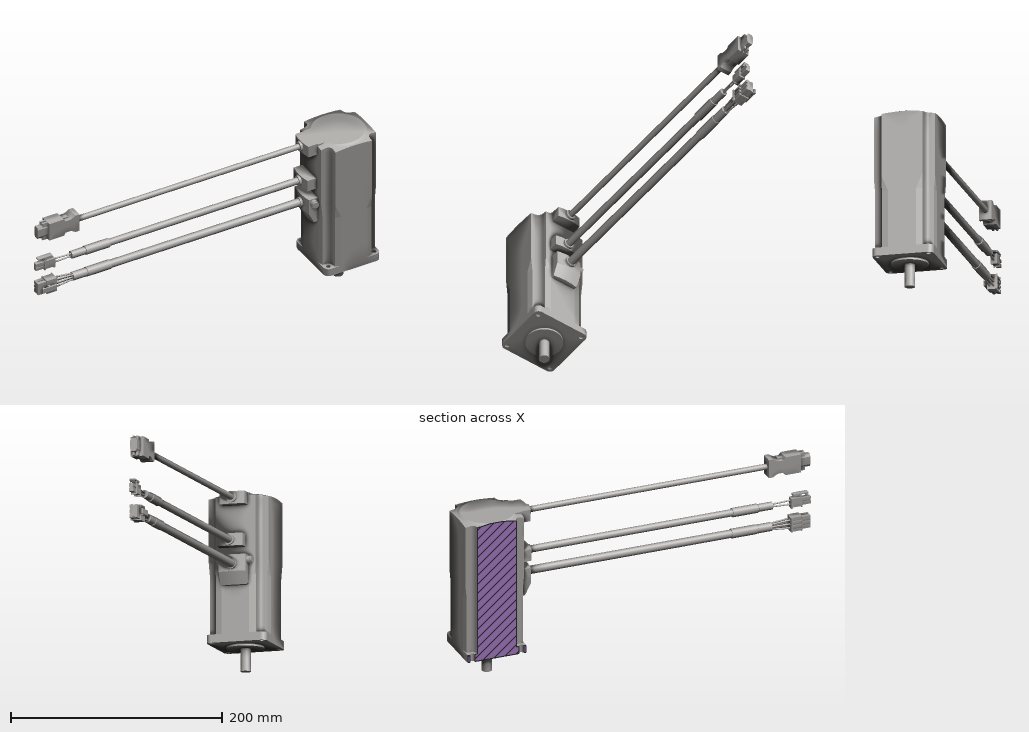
import cadquery as cq
import math


MOTOR_WIDTH = 60.0
HALF_WIDTH = MOTOR_WIDTH / 2
FLANGE_THICKNESS = 8.0
FLANGE_CORNER_RADIUS = 5.2
HOLE_SPACING = 50.0
HOLE_DIAMETER = 4.5
MOTOR_HEIGHT = 142.8
CAP_HEIGHT = 1.1
CAP_TOP_RADIUS = 25.7
CAP_BASE_RADIUS = 28.2
CAP_NECK_WIDTH = 27.0
TOP_SLOPE_ANGLE = 12.0
CHANNEL_INNER = 20.0
CHANNEL_RADIUS = 5.5
RELIEF_START = 13.8
RELIEF_DEPTH = 1.3
RELIEF_TOP = 64.0
RELIEF_RUNOUT = 14.5

PILOT_DIAMETER = 36.0
PILOT_HEIGHT = 2.0
SHAFT_DIAMETER = 10.0
SHAFT_LENGTH = 24.0

EMBED = 1.0

OUTLET_EDGE_Y = -39.5
OUTLET_CENTRE_Y = -41.0
OUTLET_HEIGHT = 12.0
GLAND_DIAMETER = 10.0
GLAND_END_Y = -43.2
CABLE_END_Y = -330.0

ENCODER_X = 0.0
ENCODER_Z = 137.0
ENCODER_OUTLET_WIDTH = 25.0
ENCODER_CABLE_DIAMETER = 5.8

BRAKE_X = -2.4
BRAKE_Z = 96.2
BRAKE_OUTLET_WIDTH = 26.0
BRAKE_OUTLET_RISE = 0.3
BRAKE_CABLE_DIAMETER = 7.0
BRAKE_SLEEVE_DIAMETER = 9.0

POWER_X = 0.0
POWER_Z = 73.0
POWER_OUTLET_WIDTH = 27.2
POWER_OUTLET_TOP = 82.0
POWER_OUTLET_KNEE = 65.8
POWER_OUTLET_BOTTOM = 53.8
POWER_OUTLET_FOOT_Y = -34.9
POWER_OUTLET_CORNER = 1.2
POWER_CABLE_DIAMETER = 8.0
POWER_SLEEVE_DIAMETER = 9.4
SCREW_Y = -34.5
SCREW_Z = 77.2
SCREW_HEAD_DIAMETER = 7.6
SCREW_HEAD_LENGTH = 3.0
SCREW_TIP_DIAMETER = 6.4
SCREW_TIP_LENGTH = 1.8

SLEEVE_START_Y = -250.0
SLEEVE_END_Y = -275.6
JACKET_START_Y = -276.6
JACKET_END_Y = -290.8
JACKET_THICKNESS = 0.3
WIRE_DIAMETER = 1.6
WIRE_GATHERING = 0.6

SHELL_START_Y = -286.2
SHELL_END_Y = -319.2
SHELL_WIDTH = 12.6
SHELL_HEIGHT = 18.8
GRIP_START_Y = -290.8
GRIP_FLOOR_START_Y = -296.5
GRIP_FLOOR_END_Y = -301.3
GRIP_END_Y = -303.3
GRIP_DEPTH = 2.9
GRIP_BOW_DEPTH = 1.9
GRIP_PAD_WIDTH = 4.4
GRIP_PAD_RISE = 1.4
PRONG_END_Y = -324.7
PRONG_INNER_X = 1.0
PRONG_OUTER_X = 2.8
NOSE_WIDTH = 6.8
NOSE_HEIGHT = 12.6
NOSE_SIDE_HEIGHT = 8.0
NOSE_TOP_WIDTH = 4.4

BRAKE_COLUMNS = 1
POWER_COLUMNS = 3
PIN_PITCH = 4.2
PLUG_START_Y = -309.6
PLUG_NOSE_Y = -321.0
PLUG_HALF_THICKNESS = 4.5
LIP_V = -5.7
LIP_WIDTH = 1.6
FRONT_LIP_WIDTH = 1.0
PLUG_NOSE_TOP_V = 3.6
PLUG_NOSE_BOTTOM_V = -4.0
PLUG_BORDER = 2.2
PLUG_NOSE_STEP = 1.0
PIN_GROOVE_WIDTH = 1.8
PIN_GROOVE_DEPTH = 0.8
RIB_GROOVE_WIDTH = 2.0
LATCH_WIDTH = 5.0
LATCH_TOP_V = 8.6
LATCH_THIN_V = 7.4
LATCH_THICK_V = 6.5
LATCH_REAR_Y = -312.0
LATCH_POST_START_Y = -318.2
LATCH_POST_END_Y = -320.2
LATCH_HOOK_START_Y = -325.2
LATCH_HOOK_V = 5.3
LATCH_FRONT_Y = -327.4


def block(x0, x1, y0, y1, z0, z1):
    """Box between two opposite corners."""
    size = (abs(x1 - x0), abs(y1 - y0), abs(z1 - z0))
    centre = ((x0 + x1) / 2, (y0 + y1) / 2, (z0 + z1) / 2)
    return cq.Workplane("XY").box(*size).translate(centre)


def rod(diameter, start, end):
    """Round bar between two points."""
    start, end = cq.Vector(*start), cq.Vector(*end)
    axis = end - start
    return cq.Workplane(cq.Solid.makeCylinder(diameter / 2, axis.Length, start, axis))


def tetrahedron(corners):
    """Solid with four triangular faces."""
    faces = []
    for skipped in corners:
        triangle = [cq.Vector(*corner) for corner in corners if corner != skipped]
        faces.append(cq.Face.makeFromWires(cq.Wire.makePolygon(triangle, close=True)))
    return cq.Workplane(cq.Solid.makeSolid(cq.Shell.makeShell(faces)))


def make_housing():
    """Square housing whose top slopes down from the cap to the corners."""
    slope_radius = MOTOR_WIDTH
    shoulder_z = MOTOR_HEIGHT - CAP_HEIGHT
    slope_drop = (slope_radius - CAP_BASE_RADIUS) * math.tan(math.radians(TOP_SLOPE_ANGLE))
    envelope = (
        cq.Workplane("XZ")
        .moveTo(0, 0)
        .lineTo(slope_radius, 0)
        .lineTo(slope_radius, shoulder_z - slope_drop)
        .lineTo(CAP_BASE_RADIUS, shoulder_z)
        .lineTo(CAP_TOP_RADIUS, MOTOR_HEIGHT)
        .lineTo(0, MOTOR_HEIGHT)
        .close()
        .revolve(360, (0, 0, 0), (0, 1, 0))
    )
    housing = block(-HALF_WIDTH, HALF_WIDTH, -HALF_WIDTH, HALF_WIDTH, 0, MOTOR_HEIGHT)
    neck = block(
        -CAP_NECK_WIDTH / 2, CAP_NECK_WIDTH / 2, -HALF_WIDTH, 0, MOTOR_HEIGHT / 2, MOTOR_HEIGHT
    )
    housing = housing.edges("|Z").fillet(FLANGE_CORNER_RADIUS)
    return housing.intersect(envelope).union(neck)


def corner_channel():
    """Cutter for the open channel above one flange hole, in the +X +Y corner."""
    outer = HALF_WIDTH + EMBED
    channel = block(
        CHANNEL_INNER, outer, CHANNEL_INNER, outer, FLANGE_THICKNESS, MOTOR_HEIGHT + EMBED
    )
    return channel.edges("|Z and <X and <Y").fillet(CHANNEL_RADIUS)


def side_relief():
    """Cutter that slopes the +Y face back towards the +X channel, with a ramp at its top."""
    near = (RELIEF_START, HALF_WIDTH)
    far = (CHANNEL_INNER, HALF_WIDTH)
    deep = (CHANNEL_INNER, HALF_WIDTH - RELIEF_DEPTH)
    prism = (
        cq.Workplane("XY", origin=(0, 0, FLANGE_THICKNESS))
        .polyline([near, far, deep])
        .close()
        .extrude(RELIEF_TOP - FLANGE_THICKNESS)
    )
    ramp = tetrahedron(
        [(*near, RELIEF_TOP), (*far, RELIEF_TOP), (*deep, RELIEF_TOP), (*far, RELIEF_TOP + RELIEF_RUNOUT)]
    )
    return prism.union(ramp)


def cut_corners(housing):
    """Cut the channel, hole and two side reliefs at each of the four corners."""
    channel = corner_channel()
    relief = side_relief()
    mirrored_relief = relief.mirror("YZ")
    hole = cq.Workplane("XY").circle(HOLE_DIAMETER / 2).extrude(FLANGE_THICKNESS)
    hole = hole.translate((HOLE_SPACING / 2, HOLE_SPACING / 2, 0))
    for quarter in range(4):
        for cutter in (channel, hole, relief, mirrored_relief):
            housing = housing.cut(cutter.rotate((0, 0, 0), (0, 0, 1), 90 * quarter))
    return housing


def make_motor():
    """Housing with its pilot and shaft."""
    pilot = rod(PILOT_DIAMETER, (0, 0, EMBED), (0, 0, -PILOT_HEIGHT))
    shaft = rod(SHAFT_DIAMETER, (0, 0, 0), (0, 0, -SHAFT_LENGTH))
    return cut_corners(make_housing()).union(pilot).union(shaft)


def outlet_outline(plane, width, setback=0.0):
    """Outline of an outlet with a gently bowed front, set back towards the housing."""
    root_y = -HALF_WIDTH + EMBED
    return (
        plane.moveTo(-width / 2, root_y)
        .lineTo(-width / 2, OUTLET_EDGE_Y + setback)
        .threePointArc((0, OUTLET_CENTRE_Y + setback), (width / 2, OUTLET_EDGE_Y + setback))
        .lineTo(width / 2, root_y)
        .close()
    )


def make_outlet(centre_x, width, bottom, top):
    """Outlet block on the -Y face."""
    plane = cq.Workplane("XY", origin=(centre_x, 0, bottom))
    return outlet_outline(plane, width).extrude(top - bottom)


def make_power_outlet():
    """Taller outlet that tapers back to the housing below the cable, with a side screw."""
    side = POWER_OUTLET_WIDTH / 2
    setback = POWER_OUTLET_FOOT_Y - OUTLET_CENTRE_Y
    foot = cq.Workplane("XY", origin=(POWER_X, 0, POWER_OUTLET_BOTTOM))
    foot = outlet_outline(foot, POWER_OUTLET_WIDTH, setback)
    knee = foot.workplane(offset=POWER_OUTLET_KNEE - POWER_OUTLET_BOTTOM)
    taper = outlet_outline(knee, POWER_OUTLET_WIDTH).loft(ruled=True)
    taper = taper.edges("|Y and <Z").chamfer(POWER_OUTLET_CORNER)
    outlet = make_outlet(POWER_X, POWER_OUTLET_WIDTH, POWER_OUTLET_KNEE, POWER_OUTLET_TOP).union(taper)
    head_end = side + SCREW_HEAD_LENGTH
    tip_end = head_end + SCREW_TIP_LENGTH
    head = rod(SCREW_HEAD_DIAMETER, (side - EMBED, SCREW_Y, SCREW_Z), (head_end, SCREW_Y, SCREW_Z))
    tip = rod(SCREW_TIP_DIAMETER, (side, SCREW_Y, SCREW_Z), (tip_end, SCREW_Y, SCREW_Z))
    return outlet.union(head).union(tip)


def cable_rod(x, z, diameter, start_y, end_y):
    """Round bar along the cable direction."""
    return rod(diameter, (x, start_y, z), (x, end_y, z))


def make_gland(x, z):
    """Strain relief where a cable leaves its outlet."""
    return cable_rod(x, z, GLAND_DIAMETER, OUTLET_EDGE_Y, GLAND_END_Y)


def make_grip():
    """Cutter for the finger grip in the top of the encoder plug, leaving a raised pad."""
    top = SHELL_HEIGHT / 2
    floor = top - GRIP_DEPTH
    middle_y = (GRIP_START_Y + GRIP_FLOOR_START_Y) / 2
    grip = (
        cq.Workplane("YZ")
        .moveTo(GRIP_START_Y, top)
        .threePointArc((middle_y, top - GRIP_BOW_DEPTH), (GRIP_FLOOR_START_Y, floor))
        .lineTo(GRIP_FLOOR_END_Y, floor)
        .lineTo(GRIP_END_Y, top)
        .close()
        .extrude(SHELL_WIDTH, both=True)
    )
    pad_half = GRIP_PAD_WIDTH / 2
    pad = block(
        -pad_half, pad_half, GRIP_FLOOR_START_Y, GRIP_END_Y, floor, floor + GRIP_PAD_RISE
    )
    return grip.cut(pad)


def make_encoder_plug():
    """Flat plug with finger grips, latch prongs and a chamfered nose, centred on X = Z = 0."""
    half_width = SHELL_WIDTH / 2
    half_height = SHELL_HEIGHT / 2
    plug = block(-half_width, half_width, SHELL_START_Y, SHELL_END_Y, -half_height, half_height)
    grip = make_grip()
    plug = plug.cut(grip).cut(grip.mirror("XY"))
    nose = (
        cq.Workplane("XZ", origin=(0, SHELL_END_Y + EMBED, 0))
        .polyline(
            [
                (-NOSE_WIDTH / 2, -NOSE_SIDE_HEIGHT / 2),
                (-NOSE_TOP_WIDTH / 2, -NOSE_HEIGHT / 2),
                (NOSE_TOP_WIDTH / 2, -NOSE_HEIGHT / 2),
                (NOSE_WIDTH / 2, -NOSE_SIDE_HEIGHT / 2),
                (NOSE_WIDTH / 2, NOSE_SIDE_HEIGHT / 2),
                (NOSE_TOP_WIDTH / 2, NOSE_HEIGHT / 2),
                (-NOSE_TOP_WIDTH / 2, NOSE_HEIGHT / 2),
                (-NOSE_WIDTH / 2, NOSE_SIDE_HEIGHT / 2),
            ]
        )
        .close()
        .extrude(SHELL_END_Y + EMBED - CABLE_END_Y)
    )
    plug = plug.union(nose)
    for side in (-1, 1):
        prong = block(
            side * PRONG_INNER_X,
            side * PRONG_OUTER_X,
            SHELL_END_Y + EMBED,
            PRONG_END_Y,
            -half_height,
            half_height,
        )
        plug = plug.union(prong)
    return plug


def make_latch():
    """Latch arm on a post, with a hook at its front end."""
    return (
        cq.Workplane("YZ")
        .polyline(
            [
                (LATCH_REAR_Y, LATCH_TOP_V),
                (LATCH_REAR_Y, LATCH_THICK_V),
                (LATCH_POST_START_Y, LATCH_THICK_V),
                (LATCH_POST_START_Y, 0),
                (LATCH_POST_END_Y, 0),
                (LATCH_POST_END_Y, LATCH_THIN_V),
                (LATCH_HOOK_START_Y, LATCH_THIN_V),
                (LATCH_HOOK_START_Y, LATCH_HOOK_V),
                (LATCH_FRONT_Y, LATCH_THIN_V),
                (LATCH_FRONT_Y, LATCH_TOP_V),
            ]
        )
        .close()
        .extrude(LATCH_WIDTH / 2, both=True)
    )


def make_pin_plug(columns):
    """Two-row plug, columns along X and the latch on +Z, centred on X = Z = 0."""
    half = (columns * PIN_PITCH + PLUG_BORDER) / 2
    nose_half = half - PLUG_NOSE_STEP
    body = block(-half, half, PLUG_START_Y, PLUG_NOSE_Y, -PLUG_HALF_THICKNESS, PLUG_HALF_THICKNESS)
    rear_lip = block(-half, half, PLUG_START_Y, PLUG_START_Y - LIP_WIDTH, LIP_V, 0)
    front_lip = block(-half, half, PLUG_NOSE_Y + FRONT_LIP_WIDTH, PLUG_NOSE_Y, LIP_V, 0)
    nose = block(
        -nose_half, nose_half, PLUG_NOSE_Y + EMBED, CABLE_END_Y, PLUG_NOSE_BOTTOM_V, PLUG_NOSE_TOP_V
    )
    for side in (-1, 1):
        row_groove = block(
            side * (nose_half - PIN_GROOVE_DEPTH),
            side * nose_half,
            PLUG_NOSE_Y,
            CABLE_END_Y,
            -PIN_GROOVE_WIDTH / 2,
            PIN_GROOVE_WIDTH / 2,
        )
        nose = nose.cut(row_groove)
    return body.union(rear_lip).union(front_lip).union(nose).union(make_latch())


def cut_column_grooves(plug, columns):
    """Cut a groove in the plug body under each column and in the nose between columns."""
    for column in range(columns):
        x = column_offset(column, columns)
        body_groove = block(
            x - RIB_GROOVE_WIDTH / 2,
            x + RIB_GROOVE_WIDTH / 2,
            PLUG_START_Y - LIP_WIDTH,
            PLUG_NOSE_Y,
            LIP_V,
            PIN_GROOVE_DEPTH - PLUG_HALF_THICKNESS,
        )
        plug = plug.cut(body_groove)
    for column in range(1, columns):
        x = column_offset(column, columns) - PIN_PITCH / 2
        nose_groove = block(
            x - PIN_GROOVE_WIDTH / 2,
            x + PIN_GROOVE_WIDTH / 2,
            PLUG_NOSE_Y,
            CABLE_END_Y,
            PLUG_NOSE_BOTTOM_V,
            PLUG_NOSE_BOTTOM_V + PIN_GROOVE_DEPTH,
        )
        plug = plug.cut(nose_groove)
    return plug


def column_offset(column, columns):
    """X position of a pin column about the middle of its plug."""
    return (column - (columns - 1) / 2) * PIN_PITCH


def make_wires(columns):
    """Wires that fan out from the cable jacket to the pins of a plug centred on X = Z = 0."""
    wires = cq.Workplane("XY")
    for column in range(columns):
        for row in (-1, 1):
            x = column_offset(column, columns)
            z = row * PIN_PITCH / 2
            start = (x * WIRE_GATHERING, JACKET_END_Y + EMBED, z * WIRE_GATHERING)
            wires = wires.union(rod(WIRE_DIAMETER, start, (x, PLUG_START_Y - EMBED, z)))
    return wires


def make_sleeved_cable(x, z, cable_diameter, sleeve_diameter):
    """Cable with a marker sleeve near its end and a jacket around the wire exit."""
    jacket_diameter = cable_diameter + 2 * JACKET_THICKNESS
    return (
        cable_rod(x, z, cable_diameter, OUTLET_EDGE_Y, JACKET_END_Y)
        .union(cable_rod(x, z, sleeve_diameter, SLEEVE_START_Y, SLEEVE_END_Y))
        .union(cable_rod(x, z, jacket_diameter, JACKET_START_Y, JACKET_END_Y))
        .union(make_gland(x, z))
    )


def make_encoder_line():
    """Top line: outlet flush with the cap, thin cable and flat plug."""
    outlet = make_outlet(
        ENCODER_X, ENCODER_OUTLET_WIDTH, MOTOR_HEIGHT - OUTLET_HEIGHT, MOTOR_HEIGHT
    )
    cable = cable_rod(
        ENCODER_X, ENCODER_Z, ENCODER_CABLE_DIAMETER, OUTLET_EDGE_Y, SHELL_START_Y - EMBED
    )
    plug = make_encoder_plug().translate((ENCODER_X, 0, ENCODER_Z))
    return outlet.union(make_gland(ENCODER_X, ENCODER_Z)).union(cable).union(plug)


def make_brake_line():
    """Middle line: two-wire cable whose plug has its latch on top."""
    outlet_z = BRAKE_Z + BRAKE_OUTLET_RISE
    outlet = make_outlet(
        BRAKE_X, BRAKE_OUTLET_WIDTH, outlet_z - OUTLET_HEIGHT / 2, outlet_z + OUTLET_HEIGHT / 2
    )
    cable = make_sleeved_cable(BRAKE_X, BRAKE_Z, BRAKE_CABLE_DIAMETER, BRAKE_SLEEVE_DIAMETER)
    tail = make_pin_plug(BRAKE_COLUMNS).union(make_wires(BRAKE_COLUMNS)).translate((BRAKE_X, 0, BRAKE_Z))
    return outlet.union(cable).union(tail)


def make_power_line():
    """Bottom line: six-wire cable whose plug is turned so that its latch faces +X."""
    cable = make_sleeved_cable(POWER_X, POWER_Z, POWER_CABLE_DIAMETER, POWER_SLEEVE_DIAMETER)
    plug = cut_column_grooves(make_pin_plug(POWER_COLUMNS), POWER_COLUMNS)
    tail = plug.union(make_wires(POWER_COLUMNS)).rotate((0, 0, 0), (0, 1, 0), 90)
    return make_power_outlet().union(cable).union(tail.translate((POWER_X, 0, POWER_Z)))


result = make_motor().union(make_encoder_line()).union(make_brake_line()).union(make_power_line())